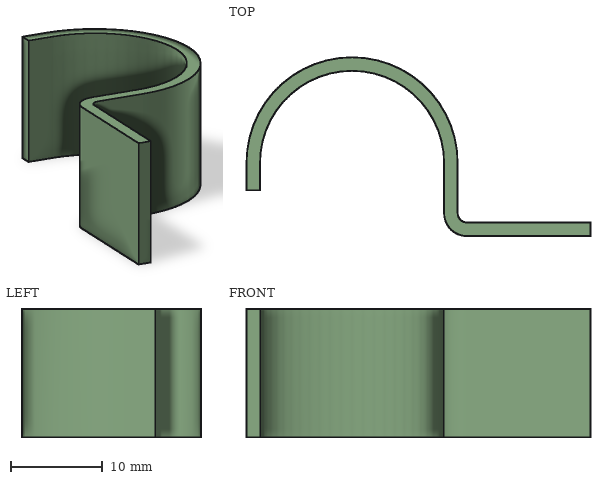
import cadquery as cq

length = 37.5
depth = 19.5
width = 14.0
thickness = 1.5
hoop_outer_radius = 11.5
bend_inner_radius = 1.0
free_leg = 3.0

hoop_inner_radius = hoop_outer_radius - thickness
bend_outer_radius = bend_inner_radius + thickness
flange_end_x = length - hoop_outer_radius
flange_bottom_y = hoop_outer_radius - depth
flange_top_y = flange_bottom_y + thickness
bend_x = hoop_outer_radius + bend_inner_radius
bend_y = flange_bottom_y + bend_outer_radius

result = (
    cq.Workplane("XY")
    .moveTo(-hoop_outer_radius, -free_leg)
    .lineTo(-hoop_outer_radius, 0)
    .threePointArc((0, hoop_outer_radius), (hoop_outer_radius, 0))
    .lineTo(hoop_outer_radius, bend_y)
    .radiusArc((bend_x, flange_top_y), -bend_inner_radius)
    .lineTo(flange_end_x, flange_top_y)
    .lineTo(flange_end_x, flange_bottom_y)
    .lineTo(bend_x, flange_bottom_y)
    .radiusArc((hoop_inner_radius, bend_y), bend_outer_radius)
    .lineTo(hoop_inner_radius, 0)
    .threePointArc((0, hoop_inner_radius), (-hoop_inner_radius, 0))
    .lineTo(-hoop_inner_radius, -free_leg)
    .close()
    .extrude(width)
)